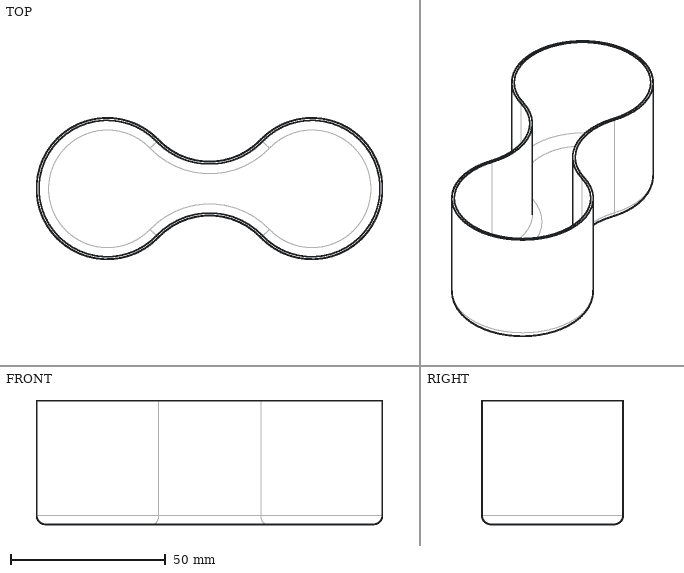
import cadquery as cq
import math

LENGTH = 111.7
WIDTH = 45.7
HEIGHT = 40.0
LOBE_RADIUS = WIDTH / 2
NECK_RADIUS = 22.8
WALL = 0.84
FLOOR = WALL
BOTTOM_FILLET = 3.0

lobe_x = LENGTH / 2 - LOBE_RADIUS
neck_y = math.sqrt((LOBE_RADIUS + NECK_RADIUS) ** 2 - lobe_x**2)


def dumbbell(inset, base_z, height):
    """Prism of two round lobes joined by a concave neck, rounded at its base.

    The outline is moved inwards by inset all the way round.
    """
    lobe_radius = LOBE_RADIUS - inset
    neck_radius = NECK_RADIUS + inset
    end_x = lobe_x + lobe_radius
    waist_y = neck_y - neck_radius

    along = lobe_radius / (lobe_radius + neck_radius)
    join_x = lobe_x * (1 - along)
    join_y = neck_y * along

    return (
        cq.Workplane("XY", origin=(0, 0, base_z))
        .moveTo(join_x, -join_y)
        .threePointArc((end_x, 0), (join_x, join_y))
        .threePointArc((0, waist_y), (-join_x, join_y))
        .threePointArc((-end_x, 0), (-join_x, -join_y))
        .threePointArc((0, -waist_y), (join_x, -join_y))
        .close()
        .extrude(height)
        .faces("<Z")
        .edges()
        .fillet(BOTTOM_FILLET)
    )


body = dumbbell(0, 0, HEIGHT)
cavity = dumbbell(WALL, FLOOR, HEIGHT - FLOOR)
result = body.cut(cavity)